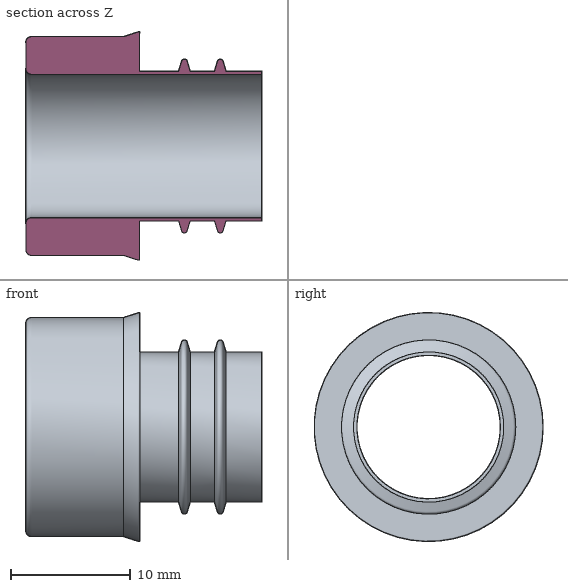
import cadquery as cq
import math

total_length = 19.8
bore_radius = 12.0 / 2
neck_radius = 12.6 / 2
head_radius = 18.4 / 2
flare_radius = 9.65

flare_start = 8.22
head_length = 9.58
mouth_fillet = 0.5
flare_edge_fillet = 0.1

first_rib_x = 13.3
rib_pitch = 3.0
rib_count = 2
rib_half_width = 0.5
rib_tip_radius = 0.25
rib_outer_radius = 7.3


def revolve_about_x(profile):
    return profile.revolve(360, (0, 0, 0), (1, 0, 0))


def make_head():
    profile = (
        cq.Workplane("XY")
        .lineTo(0, head_radius)
        .lineTo(flare_start, head_radius)
        .lineTo(head_length, flare_radius)
        .lineTo(head_length, 0)
        .close()
    )
    head = revolve_about_x(profile)
    head = head.faces("<X").edges().fillet(mouth_fillet)
    return head.faces(">X").edges().fillet(flare_edge_fillet)


def make_neck():
    return cq.Workplane("YZ").circle(neck_radius).extrude(total_length)


def make_rib(center_x):
    tip_center = rib_outer_radius - rib_tip_radius
    rise = tip_center - neck_radius
    base_distance = math.hypot(rib_half_width, rise)
    tangent_angle = math.acos(rib_tip_radius / base_distance) - math.atan2(rise, rib_half_width)
    tangent_x = rib_tip_radius * math.cos(tangent_angle)
    tangent_y = tip_center + rib_tip_radius * math.sin(tangent_angle)
    profile = (
        cq.Workplane("XY")
        .moveTo(center_x - rib_half_width, 0)
        .lineTo(center_x - rib_half_width, neck_radius)
        .lineTo(center_x - tangent_x, tangent_y)
        .threePointArc((center_x, rib_outer_radius), (center_x + tangent_x, tangent_y))
        .lineTo(center_x + rib_half_width, neck_radius)
        .lineTo(center_x + rib_half_width, 0)
        .close()
    )
    return revolve_about_x(profile)


body = make_head().union(make_neck())
for index in range(rib_count):
    body = body.union(make_rib(first_rib_x + index * rib_pitch))

bore = cq.Workplane("YZ").circle(bore_radius).extrude(total_length)
body = body.cut(bore)
result = body.faces("<X").edges(cq.selectors.RadiusNthSelector(0)).fillet(mouth_fillet)